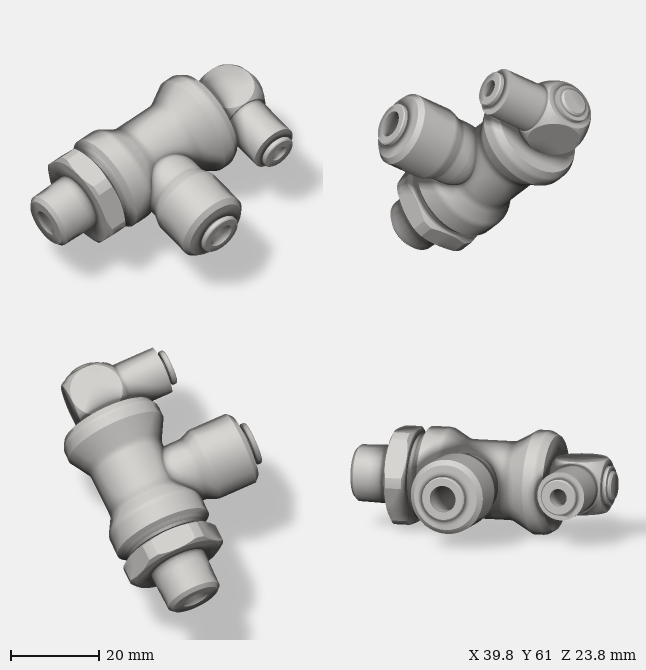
import cadquery as cq
import math


thread_tip_radius = 5.6
thread_chamfer = 0.85
thread_small_radius = 6.5
thread_large_radius = 6.7
hex_sides = 6
hex_start = 9.4
hex_end = 14.45
hex_across_flats = 21.2
hex_corner_radius = 11.6
hex_face_radius = 10.5
hex_chamfer_angle = 30

neck_radius = 9.0
seal_ring_start = 14.95
seal_ring_radius = 9.65
seal_ring_chamfer_start = 15.7
seat_start = 16.05
seat_radius = 9.95
lower_cone_start = 16.6
lower_cone_radius = 10.45
lower_band_start = 17.35
lower_band_end = 22.05
lower_band_radius = 11.5
waist_start = 26.3
waist_end = 37.5
waist_radius = 9.0
lower_blend = 2.9
upper_blend = 3.3
head_start = 42.7
head_bevel_start = 45.35
head_radius = 11.9
head_blend = 1.85
head_top_radius = 10.85

overall_length = 61.05
block_size = 12.2
block_face_radius = 6.0
block_top = 59.35
cap_flange_top = 60.25
cap_flange_radius = 4.5
cap_button_radius = 3.4
cap_edge = 0.4

branch_y = 28.7
branch_dome_x = 9.75
branch_inner_radius = 7.45
branch_outer_radius = 8.55
branch_flare_start = 12.8
branch_flare_end = 15.45
branch_flare_inner_blend = 1.9
branch_flare_outer_blend = 2.4
branch_chamfer = 1.1
branch_end = 25.7
branch_neck_end = 26.55
branch_neck_radius = 3.6
branch_collar_radius = 5.0
branch_collar_end = 27.85

tube_radius = 5.55
tube_end = 16.4
tube_neck_end = 17.15
tube_neck_radius = 2.55
tube_collar_radius = 4.1
tube_collar_end = 18.45

collar_chamfer = 0.25

main_bore_radius = 3.05
upper_bore_radius = 2.0

coincident = 0.0005

block_bottom = block_top - block_size
block_y = block_top - block_size / 2


def rounded_outline(corners):
    """Closed outline through (x, y) corners; a corner (x, y, r) is rounded with radius r."""
    path = cq.Workplane("XY").moveTo(*corners[0])
    previous_end = cq.Vector(*corners[0])
    for before, corner, after in zip(corners, corners[1:], corners[2:]):
        point = cq.Vector(*corner[:2])
        if len(corner) == 2:
            path = path.lineTo(point.x, point.y)
            previous_end = point
            continue
        radius = corner[2]
        toward_before = (cq.Vector(*before[:2]) - point).normalized()
        toward_after = (cq.Vector(*after[:2]) - point).normalized()
        half_angle = toward_before.getAngle(toward_after) / 2
        setback = radius / math.tan(half_angle)
        middle_gap = radius / math.sin(half_angle) - radius
        arc_start = point + toward_before * setback
        arc_middle = point + (toward_before + toward_after).normalized() * middle_gap
        arc_end = point + toward_after * setback
        if (arc_start - previous_end).Length > coincident:
            path = path.lineTo(arc_start.x, arc_start.y)
        path = path.threePointArc((arc_middle.x, arc_middle.y), (arc_end.x, arc_end.y))
        previous_end = arc_end
    return path.lineTo(*corners[-1]).close()


def turned_about_y(corners):
    """Solid of revolution about Y from (radius, y) corners."""
    return rounded_outline(corners).revolve(360, (0, 0, 0), (0, 1, 0))


def turned_about_x(corners, axis_y):
    """Solid of revolution about the line y = axis_y from (x, radius) corners."""
    outline = rounded_outline(corners)
    return outline.revolve(360, (0, 0, 0), (1, 0, 0)).translate((0, axis_y, 0))


def make_stud():
    return turned_about_y([
        (0, 0),
        (thread_tip_radius, 0),
        (thread_small_radius, thread_chamfer),
        (thread_large_radius, hex_start),
        (0, hex_start),
    ])


def make_hexagon():
    """Hexagon with flats facing +Z and -Z, chamfered on both end faces."""
    height = hex_end - hex_start
    prism = (
        cq.Workplane("XZ", origin=(0, hex_start, 0))
        .polygon(hex_sides, hex_across_flats, circumscribed=True)
        .extrude(-height)
        .rotate((0, 0, 0), (0, 1, 0), 180 / hex_sides)
    )
    rise = (hex_corner_radius - hex_face_radius) * math.tan(math.radians(hex_chamfer_angle))
    envelope = turned_about_y([
        (0, hex_start),
        (hex_face_radius, hex_start),
        (hex_corner_radius, hex_start + rise),
        (hex_corner_radius, hex_end - rise),
        (hex_face_radius, hex_end),
        (0, hex_end),
    ])
    return prism.intersect(envelope)


def make_body():
    return turned_about_y([
        (0, hex_end),
        (neck_radius, hex_end),
        (neck_radius, seal_ring_start),
        (seal_ring_radius, seal_ring_start),
        (seal_ring_radius, seal_ring_chamfer_start),
        (seat_radius, seat_start),
        (lower_cone_radius, lower_cone_start),
        (lower_band_radius, lower_band_start),
        (lower_band_radius, lower_band_end, lower_blend),
        (waist_radius, waist_start, lower_blend),
        (waist_radius, waist_end, upper_blend),
        (head_radius, head_start),
        (head_radius, head_bevel_start, head_blend),
        (head_top_radius, block_bottom),
        (0, block_bottom),
    ])


def make_block():
    """Cube whose edges and corners are rounded off by a sphere."""
    cube = cq.Workplane("XY").box(block_size, block_size, block_size)
    rounding = cq.Workplane("XY").sphere(math.hypot(block_size / 2, block_face_radius))
    return cube.intersect(rounding).translate((0, block_y, 0))


def make_cap():
    return turned_about_y([
        (0, block_y),
        (cap_flange_radius, block_y),
        (cap_flange_radius, cap_flange_top),
        (cap_button_radius, cap_flange_top),
        (cap_button_radius, overall_length - cap_edge),
        (cap_button_radius - cap_edge, overall_length),
        (0, overall_length),
    ])


def collar_corners(neck_start, neck_end, collar_end, neck_radius, collar_radius):
    """(x, radius) corners of the release collar at the end of a branch."""
    return [
        (neck_start, neck_radius),
        (neck_end, neck_radius),
        (neck_end, collar_radius - collar_chamfer),
        (neck_end + collar_chamfer, collar_radius),
        (collar_end - collar_chamfer, collar_radius),
        (collar_end, collar_radius - collar_chamfer),
        (collar_end, 0),
    ]


def make_large_branch():
    dome_tip = branch_dome_x - branch_inner_radius
    return turned_about_x([
        (dome_tip, 0),
        (dome_tip, branch_inner_radius, branch_inner_radius),
        (branch_flare_start, branch_inner_radius, branch_flare_inner_blend),
        (branch_flare_end, branch_outer_radius, branch_flare_outer_blend),
        (branch_end - branch_chamfer, branch_outer_radius),
        (branch_end, branch_outer_radius - branch_chamfer),
    ] + collar_corners(
        branch_end, branch_neck_end, branch_collar_end, branch_neck_radius, branch_collar_radius
    ), branch_y)


def make_small_branch():
    return turned_about_x([
        (0, 0),
        (0, tube_radius),
        (tube_end, tube_radius),
    ] + collar_corners(
        tube_end, tube_neck_end, tube_collar_end, tube_neck_radius, tube_collar_radius
    ), block_y)


def cut_elbow_bore(part, radius, turn_y, outlet_x):
    """Cut a domed passage from the stud tip up to turn_y and its outlet along a branch."""
    dome_tip = turn_y + radius
    inlet = turned_about_y([
        (0, dome_tip),
        (radius, dome_tip, radius),
        (radius, 0),
        (0, 0),
    ])
    outlet = cq.Workplane("YZ", origin=(0, turn_y, 0)).circle(radius).extrude(outlet_x)
    return part.cut(inlet).cut(outlet)


solid_fitting = (
    make_body()
    .union(make_stud())
    .union(make_hexagon())
    .union(make_block())
    .union(make_cap())
    .union(make_large_branch())
    .union(make_small_branch())
)
with_main_bore = cut_elbow_bore(solid_fitting, main_bore_radius, branch_y, branch_collar_end)
result = cut_elbow_bore(with_main_bore, upper_bore_radius, block_y, tube_collar_end)